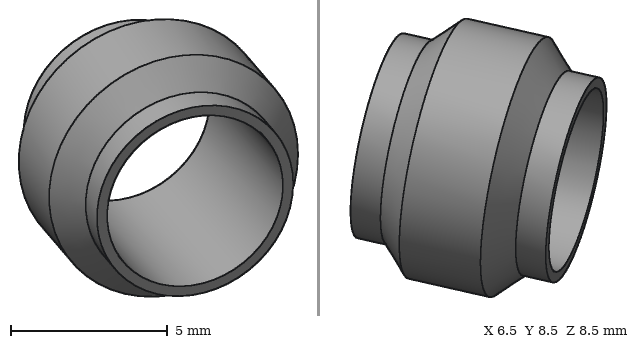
import cadquery as cq

length = 6.5
band_diameter = 8.5
end_diameter = 6.7
bore_diameter = 6.0
end_length = 1.0

band_radius = band_diameter / 2
end_radius = end_diameter / 2
bore_radius = bore_diameter / 2
cone_length = band_radius - end_radius
end_x = length / 2
cone_x = end_x - end_length
band_x = cone_x - cone_length


def sleeve():
    """Revolve the wall section: thin ends, cones and a wide middle band around a through bore."""
    wall_section = (
        cq.Workplane("XY")
        .moveTo(-end_x, bore_radius)
        .lineTo(-end_x, end_radius)
        .lineTo(-cone_x, end_radius)
        .lineTo(-band_x, band_radius)
        .lineTo(band_x, band_radius)
        .lineTo(cone_x, end_radius)
        .lineTo(end_x, end_radius)
        .lineTo(end_x, bore_radius)
        .close()
    )
    return wall_section.revolve(360, (0, 0, 0), (1, 0, 0))


result = sleeve()